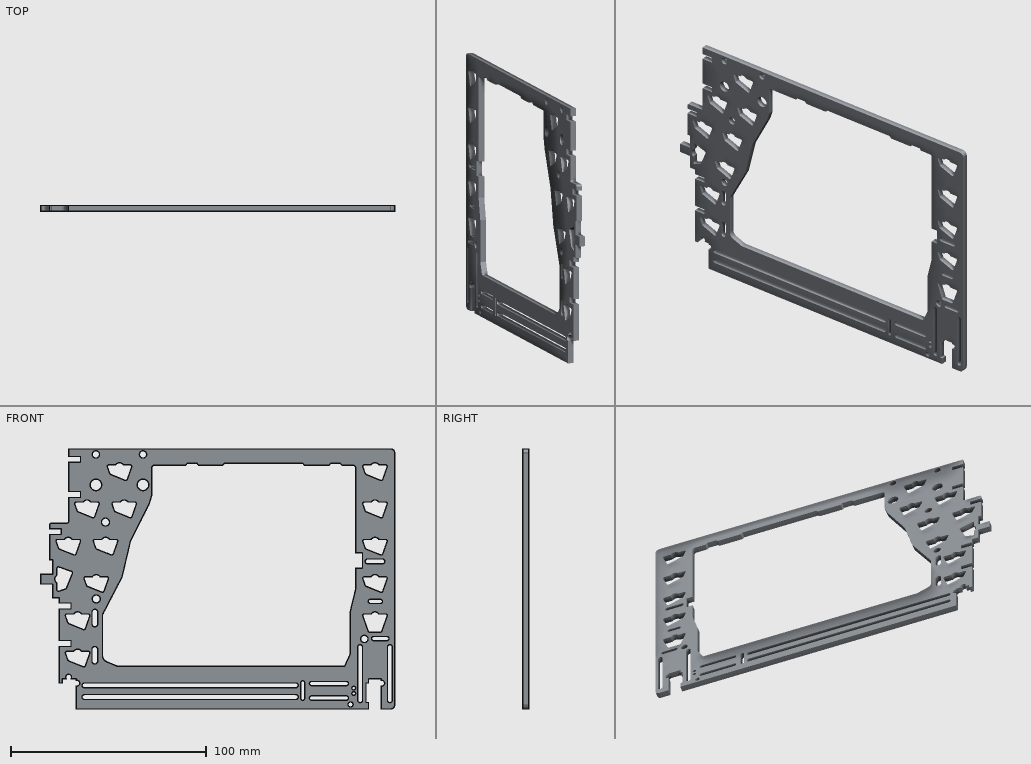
import cadquery as cq

LENGTH = 181.0
HEIGHT = 133.0
THICKNESS = 3.0
PITCH = LENGTH / 9.5
CORNER_RADIUS = 2.2
SMALL_FILLET = 1.0

TOP_LEFT_X = 14.3
SHOULDER_X = 4.5
SHOULDER_Z = 95.0
TAB_ROOT_X = 6.2
TAB_STEP_TOP_Z = 76.2
TAB_STEP_BOTTOM_Z = 56.8
TAB_CENTER_Z = 66.5
TAB_HEIGHT = 5.0
LOWER_LEFT_X = 9.5
FOOT_LEFT_X = 18.1
NOTCH_DEPTH = 6.0
NOTCH_HEIGHT = 2.9
EDGE_NOTCHES = (
    (TOP_LEFT_X, 127.6),
    (TOP_LEFT_X, 109.7),
    (SHOULDER_X, 90.7),
    (LOWER_LEFT_X, 52.7),
    (LOWER_LEFT_X, 33.5),
)

LIP_X = 11.0
LIP_BOTTOM_Z = 13.2
RECESS_TOP_Z = 15.4
RELIEF_RADIUS = 1.5
RELIEF_OFFSET = 0.4
TOP_RELIEF_X = 14.3
TOP_RELIEF_OFFSET = 0.9
LEG_GAP_LEFT_X = 167.6
LEG_GAP_RIGHT_X = 174.0
LEG_GAP_UNDERCUT = 1.3
UNDERCUT_BOTTOM_Z = 3.5

WINDOW_TOP_Z = 124.5
WINDOW_BOTTOM_Z = 21.9
WINDOW_TOP_LEFT_X = 56.8
WINDOW_RIGHT_X = 160.9
WINDOW_TOP_RECESS = 1.0
WINDOW_TOP_RECESS_RUN = 0.9
WINDOW_TOP_RECESSES = ((74.0, 80.7), (93.0, 134.8), (147.3, 154.0))
WINDOW_SIDE_RECESS = 3.5
SIDE_RECESS_BOTTOM_Z = 72.0
SIDE_RECESS_TOP_Z = 79.8
RIGHT_TAPER_TOP_Z = 61.2
RIGHT_TAPER_BOTTOM_Z = 50.0
WINDOW_LOWER_RIGHT_X = 158.2
RIGHT_CORNER_Z = 28.2
RIGHT_CORNER_X = 155.3
LEFT_CORNER_X = 39.3
LEFT_ROUND_END = (33.7, 24.3)
LEFT_ROUND_MIDDLE = (32.2, 25.5)
LEFT_ROUND_TOP_Z = 27.5
WINDOW_LOWER_LEFT_X = 31.7
LEFT_SLOPE_BOTTOM_Z = 48.3
LEFT_SLOPE_BENDS = ((41.6, 67.5), (46.0, 86.0), (55.5, 105.0))
LEFT_SLOPE_TOP_Z = 109.3

KEYSTONE_TOP_HALF = 6.5
KEYSTONE_BOTTOM_HALF = 3.3
KEYSTONE_HEIGHT = 9.2
KEYSTONE_FILLET = 0.7
KEYSTONE_CUT_LEFT_Z = -4.7
KEYSTONE_CUT_RIGHT_Z = -8.1
BUMP_HALF = 2.0
BUMP_HEIGHT = 1.0
LEFT_COLUMN_X = 14.1
RIGHT_COLUMN_X = 170.9
BOTTOM_ROW_Z = 29.5
LEFT_KEYSTONES = ((0, 0.25), (1, 0.25), (2, 0.75), (3, 0), (3, 1), (4, 0.5), (4, 1.5), (5, 1.375))
RIGHT_CUT_ROWS = (2, 3, 4, 5)
RIGHT_FULL_ROW = 1
SIDEWAYS_KEYSTONE_X = 8.3

PAIR_HOLE_X = (28.2, 52.3)
PAIR_UPPER_Z = 130.1
PAIR_UPPER_RADIUS = 1.8
PAIR_LOWER_Z = 114.5
PAIR_LOWER_RADIUS = 2.9

SINGLE_HOLES = (
    (33.1, 95.5, 2.0),
    (28.5, 56.3, 2.0),
    (165.5, 35.8, 1.8),
    (160.0, 10.7, 0.9),
    (160.0, 8.0, 0.9),
    (158.4, 2.4, 1.3),
)
HORIZONTAL_SLOTS = (
    (170.9, 75.5, 10.0, 2.4),
    (171.0, 55.0, 7.2, 2.0),
    (173.5, 36.0, 8.9, 2.0),
    (76.4, 12.1, 110.5, 2.4),
    (76.4, 6.2, 110.5, 2.4),
    (147.3, 13.0, 20.0, 2.0),
    (147.3, 5.6, 20.0, 2.2),
)
VERTICAL_SLOTS = (
    (27.7, 46.5, 8.9, 2.9),
    (27.7, 27.5, 8.9, 2.9),
    (134.0, 9.5, 10.0, 1.8),
    (163.3, 18.1, 29.5, 2.4),
    (178.5, 18.1, 29.5, 2.4),
)


def extruded(sketch):
    """Extrude an XZ sketch through the plate thickness, towards +Y."""
    return sketch.extrude(-THICKNESS)


def box_between(x0, x1, z0, z1):
    return extruded(cq.Workplane("XZ").center((x0 + x1) / 2, (z0 + z1) / 2).rect(x1 - x0, z1 - z0))


def hole(x, z, radius):
    return extruded(cq.Workplane("XZ").center(x, z).circle(radius))


def slot(x, z, length, width, angle=0):
    return extruded(cq.Workplane("XZ").center(x, z).slot2D(length, width, angle))


def keystone_half_width(z):
    """Half width of the tapered opening at height z (zero at the wide edge, negative below)."""
    return KEYSTONE_TOP_HALF + (KEYSTONE_TOP_HALF - KEYSTONE_BOTTOM_HALF) * z / KEYSTONE_HEIGHT


def keystone(x, z, left_z=KEYSTONE_CUT_LEFT_Z, right_z=KEYSTONE_CUT_RIGHT_Z, angle=0):
    """Keystone opening whose narrow end runs from left_z to right_z; (x, z) is the wide edge middle."""
    opening = extruded(
        cq.Workplane("XZ").polyline([
            (-KEYSTONE_TOP_HALF, 0),
            (KEYSTONE_TOP_HALF, 0),
            (keystone_half_width(right_z), right_z),
            (-keystone_half_width(left_z), left_z),
        ]).close()
    ).edges("|Y").fillet(KEYSTONE_FILLET)
    bump = extruded(
        cq.Workplane("XZ").moveTo(-BUMP_HALF, 0)
        .threePointArc((0, BUMP_HEIGHT), (BUMP_HALF, 0)).close()
    )
    return opening.union(bump).rotate((0, 0, 0), (0, 1, 0), -angle).translate((x, 0, z))


def plate_blank():
    tab_bottom_z = TAB_CENTER_Z - TAB_HEIGHT / 2
    tab_top_z = TAB_CENTER_Z + TAB_HEIGHT / 2
    blank = extruded(
        cq.Workplane("XZ").polyline([
            (TOP_LEFT_X, HEIGHT),
            (LENGTH, HEIGHT),
            (LENGTH, 0),
            (FOOT_LEFT_X, 0),
            (FOOT_LEFT_X, RECESS_TOP_Z),
            (LIP_X, RECESS_TOP_Z),
            (LIP_X, LIP_BOTTOM_Z),
            (LOWER_LEFT_X, LIP_BOTTOM_Z),
            (LOWER_LEFT_X, TAB_STEP_BOTTOM_Z),
            (TAB_ROOT_X, TAB_STEP_BOTTOM_Z),
            (TAB_ROOT_X, tab_bottom_z),
            (0, tab_bottom_z),
            (0, tab_top_z),
            (TAB_ROOT_X, tab_top_z),
            (TAB_ROOT_X, TAB_STEP_TOP_Z),
            (SHOULDER_X, TAB_STEP_TOP_Z),
            (SHOULDER_X, SHOULDER_Z),
            (TOP_LEFT_X, SHOULDER_Z),
        ]).close()
    )
    blank = blank.edges("|Y and >X").fillet(CORNER_RADIUS)
    for x in (SHOULDER_X, TOP_LEFT_X):
        corner = cq.selectors.NearestToPointSelector((x, THICKNESS / 2, SHOULDER_Z))
        blank = blank.edges(corner).fillet(SMALL_FILLET)
    return blank


def edge_notches():
    notches = []
    for edge_x, center_z in EDGE_NOTCHES:
        notches.append(box_between(edge_x, edge_x + NOTCH_DEPTH,
                                   center_z - NOTCH_HEIGHT / 2, center_z + NOTCH_HEIGHT / 2))
    return notches


def bottom_recesses():
    return [
        hole(TOP_RELIEF_X, RECESS_TOP_Z + TOP_RELIEF_OFFSET, RELIEF_RADIUS),
        hole(FOOT_LEFT_X + RELIEF_OFFSET, LIP_BOTTOM_Z, RELIEF_RADIUS),
        box_between(LEG_GAP_LEFT_X, LEG_GAP_RIGHT_X, 0, RECESS_TOP_Z),
        box_between(LEG_GAP_LEFT_X - LEG_GAP_UNDERCUT, LEG_GAP_LEFT_X, UNDERCUT_BOTTOM_Z, LIP_BOTTOM_Z),
        hole(LEG_GAP_RIGHT_X + RELIEF_OFFSET, LIP_BOTTOM_Z, RELIEF_RADIUS),
    ]


def window():
    """Central opening, clockwise from its top left corner, with its edge recesses."""
    outline = (
        cq.Workplane("XZ").moveTo(WINDOW_TOP_LEFT_X, WINDOW_TOP_Z)
        .lineTo(WINDOW_RIGHT_X, WINDOW_TOP_Z)
        .lineTo(WINDOW_RIGHT_X, RIGHT_TAPER_TOP_Z)
        .lineTo(WINDOW_LOWER_RIGHT_X, RIGHT_TAPER_BOTTOM_Z)
        .lineTo(WINDOW_LOWER_RIGHT_X, RIGHT_CORNER_Z)
        .lineTo(RIGHT_CORNER_X, WINDOW_BOTTOM_Z)
        .lineTo(LEFT_CORNER_X, WINDOW_BOTTOM_Z)
        .lineTo(*LEFT_ROUND_END)
        .threePointArc(LEFT_ROUND_MIDDLE, (WINDOW_LOWER_LEFT_X, LEFT_ROUND_TOP_Z))
        .lineTo(WINDOW_LOWER_LEFT_X, LEFT_SLOPE_BOTTOM_Z)
    )
    for bend in LEFT_SLOPE_BENDS:
        outline = outline.lineTo(*bend)
    opening = extruded(outline.lineTo(WINDOW_TOP_LEFT_X, LEFT_SLOPE_TOP_Z).close())
    opening = opening.edges("|Y and >Z").fillet(SMALL_FILLET)
    opening = opening.union(box_between(WINDOW_RIGHT_X, WINDOW_RIGHT_X + WINDOW_SIDE_RECESS,
                                        SIDE_RECESS_BOTTOM_Z, SIDE_RECESS_TOP_Z))
    for left_x, right_x in WINDOW_TOP_RECESSES:
        opening = opening.union(extruded(
            cq.Workplane("XZ").polyline([
                (left_x, WINDOW_TOP_Z),
                (left_x + WINDOW_TOP_RECESS_RUN, WINDOW_TOP_Z + WINDOW_TOP_RECESS),
                (right_x - WINDOW_TOP_RECESS_RUN, WINDOW_TOP_Z + WINDOW_TOP_RECESS),
                (right_x, WINDOW_TOP_Z),
            ]).close()
        ))
    return opening


def keystones():
    cuts = []
    for row, offset in LEFT_KEYSTONES:
        cuts.append(keystone(LEFT_COLUMN_X + offset * PITCH, BOTTOM_ROW_Z + row * PITCH))
    for row in RIGHT_CUT_ROWS:
        cuts.append(keystone(RIGHT_COLUMN_X, BOTTOM_ROW_Z + row * PITCH))
    full_row_z = BOTTOM_ROW_Z + RIGHT_FULL_ROW * PITCH
    cuts.append(keystone(RIGHT_COLUMN_X, full_row_z, -KEYSTONE_HEIGHT, -KEYSTONE_HEIGHT))
    cuts.append(keystone(SIDEWAYS_KEYSTONE_X, TAB_CENTER_Z, angle=90))
    return cuts


def round_holes():
    cuts = []
    for x in PAIR_HOLE_X:
        cuts.append(hole(x, PAIR_UPPER_Z, PAIR_UPPER_RADIUS))
        cuts.append(hole(x, PAIR_LOWER_Z, PAIR_LOWER_RADIUS))
    for x, z, radius in SINGLE_HOLES:
        cuts.append(hole(x, z, radius))
    return cuts


def slots():
    cuts = []
    for x, z, length, width in HORIZONTAL_SLOTS:
        cuts.append(slot(x, z, length, width))
    for x, z, length, width in VERTICAL_SLOTS:
        cuts.append(slot(x, z, length, width, angle=90))
    return cuts


result = plate_blank()
for cut in edge_notches() + bottom_recesses() + [window()] + keystones() + round_holes() + slots():
    result = result.cut(cut)